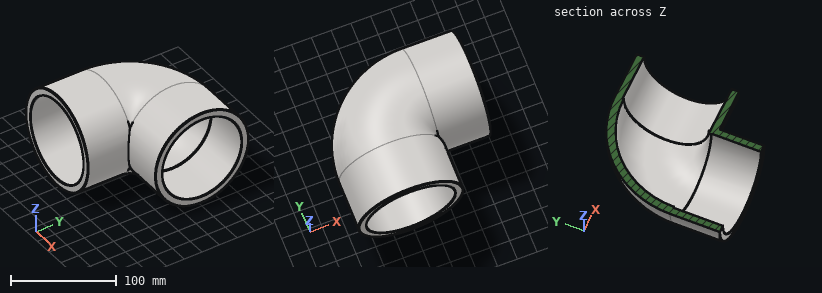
import cadquery as cq

overall = 152.0
outer_diameter = 106.0
socket_diameter = 90.0
bend_bore_diameter = 87.8
collar_length = 51.2
outer_chamfer = 0.6
mouth_chamfer = 0.5

outer_radius = outer_diameter / 2
socket_radius = socket_diameter / 2
bore_radius = bend_bore_diameter / 2
bend_radius = overall - collar_length - outer_radius

end_planes = [
    cq.Plane(origin=(-bend_radius, -collar_length, 0), xDir=(1, 0, 0), normal=(0, 1, 0)),
    cq.Plane(origin=(collar_length, bend_radius, 0), xDir=(0, 1, 0), normal=(-1, 0, 0)),
]


def outer_bend():
    """Quarter turn of the outer circle, cut off at the bend axis that it crosses."""
    half_height = (outer_radius**2 - bend_radius**2) ** 0.5
    section = (
        cq.Workplane("XZ")
        .moveTo(0, -half_height)
        .threePointArc((-bend_radius - outer_radius, 0), (0, half_height))
        .close()
    )
    return section.revolve(90, (0, 0), (0, -1))


def bore_bend():
    """Quarter turn of the passage between the two sockets."""
    section = cq.Workplane("XZ").center(-bend_radius, 0).circle(bore_radius)
    return section.revolve(90, (bend_radius, 0), (bend_radius, -1))


def collar(plane):
    """Straight outer cylinder, chamfered at its end face."""
    cylinder = cq.Workplane(plane).circle(outer_radius).extrude(collar_length)
    end_face = cq.selectors.NearestToPointSelector(plane.origin.toTuple())
    return cylinder.faces(end_face).chamfer(outer_chamfer)


def socket(plane):
    """Pipe socket with a flared mouth, ending in a step at the narrower bend bore."""
    mouth = socket_radius + mouth_chamfer
    profile = cq.Workplane(
        cq.Plane(origin=plane.origin, xDir=plane.xDir, normal=plane.xDir.cross(plane.zDir))
    )
    outline = profile.polyline([
        (0, 0),
        (mouth, 0),
        (socket_radius, mouth_chamfer),
        (socket_radius, collar_length),
        (0, collar_length),
    ]).close()
    return outline.revolve(360, (0, 0), (0, 1))


body = outer_bend()
for end_plane in end_planes:
    body = body.union(collar(end_plane))

body = body.cut(bore_bend())
for end_plane in end_planes:
    body = body.cut(socket(end_plane))

result = body